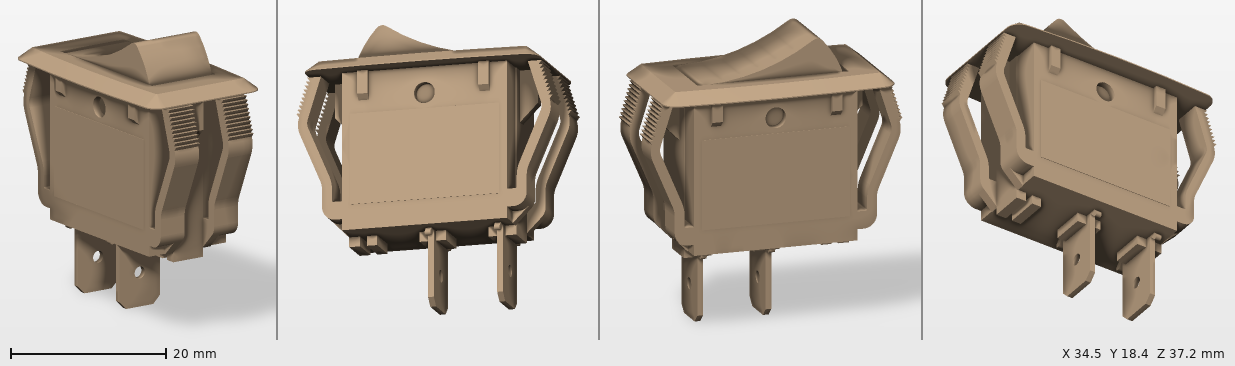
import cadquery as cq
import math


bezel_length = 31.55
bezel_width = 18.37
bezel_end_width = 17.2
bezel_corner_radius = 1.95
bezel_lip = 0.15
bezel_height = 1.55
bezel_inset = 1.82

body_length = 22.2
body_width = 12.15
body_depth = 20.9
spine_length = 22.45
spine_width = 4.65

window_length = 20.6
window_width = 10.05
cavity_floor = -9.3

pivot_z = -3.42
pivot_hole_diameter = 2.8
pivot_pin_diameter = 2.5
pivot_pin_recess = 0.9

label_length = 20.1
label_top = -5.5
label_bottom = -17.55
label_thickness = 0.07

side_rib_x = 8.15
side_rib_width = 1.4
side_rib_reach = 0.7
side_rib_depth = 3.8
end_rib_width = 1.4
end_rib_x = 13.65
end_rib_straight = 4.45

clip_width = 3.75
clip_top = -0.25
clip_post_x = 13.75
clip_thickness = 1.35
clip_floor = -17.05
clip_gap_radius = 0.2
clip_foot_z = -17.63
clip_foot_radius = 1.8
bend_bottom_z = -15.32
bend_radius = 3.0
slope_angle = 23.2
slope_top_z = -7.77
elbow_x = 17.0
elbow_z = -6.62
inner_elbow_z = -6.4
inner_elbow_radius = 1.67
inner_top_x = 13.9
tooth_count = 10
tooth_pitch = 0.52
tooth_step = 0.165
tooth_tip_x = 17.238
tooth_depth = 0.55
gusset_width = 1.25

guard_bottom = -22.2
guard_slot_spacing = 9.3
guard_slot = 0.93
end_guard_inner_x = 7.48
middle_guard_length = 3.55

terminal_positions = (-guard_slot_spacing, 0)
terminal_thickness = 0.78
terminal_width = 6.32
terminal_bottom = -30.9
terminal_chamfer = 1.05
terminal_hole_diameter = 1.6
terminal_hole_z = -26.35
ear_thickness = 0.75
ear_tip_y = 4.28
ear_tip_z = -21.57

rocker_axis_z = -2.05
rocker_tilt = 17.5
rocker_width = 9.78
rocker_half_length = 10.15
rocker_end_radius = 13.0
rocker_face_radius = 27.35
rocker_edge_height = 6.4
rocker_bottom = -2.98
rocker_edge_fillet = 1.05


def box(x0, x1, y0, y1, z0, z1):
    return cq.Workplane("XY").box(x1 - x0, y1 - y0, z1 - z0, centered=False).translate((x0, y0, z0))


def extruded_along_y(profile, y_start, width):
    """Extrude a closed XZ profile from y_start towards +Y."""
    return profile.extrude(-width).translate((0, y_start, 0))


def make_bezel():
    half_length = bezel_length / 2
    half_end = bezel_end_width / 2
    half_middle = bezel_width / 2
    lip = (
        cq.Workplane("XY")
        .moveTo(-half_length, -half_end)
        .threePointArc((0, -half_middle), (half_length, -half_end))
        .lineTo(half_length, half_end)
        .threePointArc((0, half_middle), (-half_length, half_end))
        .close()
        .extrude(bezel_lip)
        .edges("|Z")
        .fillet(bezel_corner_radius)
    )
    slope_height = bezel_height - bezel_lip
    rim_angle = math.degrees(math.atan(bezel_inset / slope_height))
    rim = lip.faces(">Z").wires().toPending().extrude(slope_height, taper=rim_angle, combine=False)
    return lip.union(rim)


def make_body():
    body = box(-body_length / 2, body_length / 2, -body_width / 2, body_width / 2, -body_depth, 0)
    spine = box(-spine_length / 2, spine_length / 2, -spine_width / 2, spine_width / 2, -body_depth, 0)
    return body.union(spine)


def make_guards():
    """Blocks under the body, each split by a slot that takes one terminal."""
    end_outer_x = spine_length / 2
    middle_end_x = middle_guard_length / 2
    spans = (
        (-end_outer_x, -guard_slot_spacing, -end_guard_inner_x),
        (-middle_end_x, 0, middle_end_x),
        (end_guard_inner_x, guard_slot_spacing, end_outer_x),
    )
    guards = cq.Workplane("XY")
    for start_x, slot_x, end_x in spans:
        for x0, x1 in ((start_x, slot_x - guard_slot / 2), (slot_x + guard_slot / 2, end_x)):
            guards = guards.union(box(x0, x1, -spine_width / 2, spine_width / 2, guard_bottom, -body_depth))
    return guards


def make_labels():
    reach = body_width / 2 + label_thickness
    return box(-label_length / 2, label_length / 2, -reach, reach, label_bottom, label_top)


def make_side_ribs():
    """Ribs across both side faces, with a 45 degree lower end."""
    outer = body_width / 2 + side_rib_reach
    profile = (
        cq.Workplane("YZ")
        .polyline([
            (-outer, 0),
            (-outer, side_rib_reach - side_rib_depth),
            (-body_width / 2, -side_rib_depth),
            (body_width / 2, -side_rib_depth),
            (outer, side_rib_reach - side_rib_depth),
            (outer, 0),
        ])
        .close()
        .extrude(side_rib_width / 2, both=True)
    )
    return profile.translate((-side_rib_x, 0, 0)).union(profile.translate((side_rib_x, 0, 0)))


def make_end_ribs():
    """One rib across both ends, with 45 degree lower ends."""
    slope_bottom = -end_rib_straight - (end_rib_x - body_length / 2)
    return (
        cq.Workplane("XZ")
        .polyline([
            (-end_rib_x, 0),
            (-end_rib_x, -end_rib_straight),
            (-body_length / 2, slope_bottom),
            (body_length / 2, slope_bottom),
            (end_rib_x, -end_rib_straight),
            (end_rib_x, 0),
        ])
        .close()
        .extrude(end_rib_width / 2, both=True)
    )


def make_clip_arm():
    """Profile of one clip at the +X end, extruded over its width from y = 0."""
    post_inner_x = clip_post_x - clip_thickness
    foot_x = clip_post_x - clip_foot_radius
    foot_z = clip_foot_z - clip_foot_radius
    diagonal = clip_foot_radius * math.sin(math.radians(45))
    angle = math.radians(slope_angle)
    bend_centre_x = clip_post_x + bend_radius
    inner_bend_radius = bend_radius + clip_thickness
    outer_bend_x = bend_centre_x - bend_radius * math.cos(angle)
    outer_bend_z = bend_bottom_z + bend_radius * math.sin(angle)
    inner_bend_x = bend_centre_x - inner_bend_radius * math.cos(angle)
    inner_bend_z = bend_bottom_z + inner_bend_radius * math.sin(angle)
    slope_top_x = outer_bend_x + (slope_top_z - outer_bend_z) * math.tan(angle)
    inner_elbow_x = inner_bend_x + (inner_elbow_z - inner_bend_z) * math.tan(angle)

    profile = (
        cq.Workplane("XZ")
        .moveTo(body_length / 2, foot_z)
        .lineTo(foot_x, foot_z)
        .threePointArc((foot_x + diagonal, clip_foot_z - diagonal), (clip_post_x, clip_foot_z))
        .lineTo(clip_post_x, bend_bottom_z)
        .tangentArcPoint((outer_bend_x, outer_bend_z), relative=False)
        .lineTo(slope_top_x, slope_top_z)
    )
    lowest_tooth_z = clip_top - (tooth_count - 1) * tooth_pitch
    valley_x = tooth_tip_x + tooth_step - tooth_depth
    profile = profile.threePointArc((elbow_x, elbow_z), (valley_x, lowest_tooth_z - tooth_pitch))
    for i in range(tooth_count):
        tip_x = tooth_tip_x - i * tooth_step
        tip_z = lowest_tooth_z + i * tooth_pitch
        profile = profile.lineTo(tip_x, tip_z)
        if i < tooth_count - 1:
            profile = profile.lineTo(tip_x - tooth_depth, tip_z)
    arm = (
        profile.lineTo(inner_top_x, clip_top)
        .lineTo(inner_elbow_x, inner_elbow_z)
        .lineTo(inner_bend_x, inner_bend_z)
        .tangentArcPoint((post_inner_x, bend_bottom_z), relative=False)
        .lineTo(post_inner_x, clip_floor)
        .lineTo(body_length / 2, clip_floor)
        .close()
    )
    arm = extruded_along_y(arm, 0, clip_width)
    arm = arm.edges(cq.selectors.NearestToPointSelector((inner_elbow_x, clip_width / 2, inner_elbow_z)))
    arm = arm.fillet(inner_elbow_radius)
    arm = arm.edges(cq.selectors.NearestToPointSelector((post_inner_x, clip_width / 2, clip_floor)))
    return arm.fillet(clip_gap_radius)


def make_gusset():
    """45 degree web under a clip foot, tangent to the foot radius, extruded from y = 0."""
    diagonal = clip_foot_radius * math.sin(math.radians(45))
    tangent_x = clip_post_x - clip_foot_radius + diagonal
    tangent_z = clip_foot_z - diagonal
    root_x = body_length / 2
    profile = (
        cq.Workplane("XZ")
        .moveTo(tangent_x, tangent_z)
        .lineTo(root_x, tangent_z - (tangent_x - root_x))
        .lineTo(root_x, tangent_z)
        .close()
    )
    return extruded_along_y(profile, 0, gusset_width)


def make_clips():
    """Two clips at each end, flush with the body side faces."""
    inner_y = body_width / 2 - clip_width
    clip = make_clip_arm().union(make_gusset()).translate((0, inner_y, 0))
    pair = clip.union(clip.mirror("XZ"))
    return pair.union(pair.mirror("YZ"))


def make_housing():
    housing = (
        make_bezel()
        .union(make_body())
        .union(make_guards())
        .union(make_labels())
        .union(make_side_ribs())
        .union(make_end_ribs())
        .union(make_clips())
    )
    cavity = box(
        -window_length / 2, window_length / 2, -window_width / 2, window_width / 2, cavity_floor, bezel_height
    )
    pivot_hole = cq.Workplane("XZ").center(0, pivot_z).circle(pivot_hole_diameter / 2)
    pivot_hole = pivot_hole.extrude(body_width / 2, both=True)
    return housing.cut(cavity).cut(pivot_hole)


def make_rocker():
    """Rocker block drawn level about the rocking axis, tilted, then given its pivot pins."""
    end_centre_x = rocker_half_length - rocker_end_radius
    corner_x = end_centre_x + math.sqrt(rocker_end_radius**2 - rocker_edge_height**2)
    bottom_x = end_centre_x + math.sqrt(rocker_end_radius**2 - rocker_bottom**2)
    face_sag = rocker_face_radius - math.sqrt(rocker_face_radius**2 - corner_x**2)
    block = (
        cq.Workplane("XZ")
        .moveTo(-bottom_x, rocker_bottom)
        .threePointArc((-rocker_half_length, 0), (-corner_x, rocker_edge_height))
        .threePointArc((0, rocker_edge_height - face_sag), (corner_x, rocker_edge_height))
        .threePointArc((rocker_half_length, 0), (bottom_x, rocker_bottom))
        .close()
        .extrude(rocker_width / 2, both=True)
    )
    block = block.edges("|Y and >Z").fillet(rocker_edge_fillet)
    block = block.rotate((0, 0, 0), (0, 1, 0), -rocker_tilt).translate((0, 0, rocker_axis_z))
    pin_reach = body_width / 2 - pivot_pin_recess
    pins = cq.Workplane("XZ").center(0, pivot_z).circle(pivot_pin_diameter / 2).extrude(pin_reach, both=True)
    return block.union(pins)


def make_ear():
    """Locking ear at +Y: a 45 degree strip with a round tip, cut off at the body underside."""
    strip_length = 3 * ear_thickness
    strip = box(
        -terminal_thickness / 2, terminal_thickness / 2, -strip_length, 0, -ear_thickness / 2, ear_thickness / 2
    )
    tip = cq.Workplane("YZ").circle(ear_thickness / 2).extrude(terminal_thickness / 2, both=True)
    ear = strip.union(tip).rotate((0, 0, 0), (1, 0, 0), -45).translate((0, ear_tip_y, ear_tip_z))
    below_body = box(
        -terminal_thickness, terminal_thickness, 0, terminal_width, terminal_bottom, -body_depth
    )
    return ear.intersect(below_body)


def make_terminal(x):
    half_thickness = terminal_thickness / 2
    half_width = terminal_width / 2
    blade = box(-half_thickness, half_thickness, -half_width, half_width, terminal_bottom, -body_depth)
    blade = blade.edges("|X and <Z").chamfer(terminal_chamfer)
    hole = cq.Workplane("YZ").center(0, terminal_hole_z).circle(terminal_hole_diameter / 2)
    blade = blade.cut(hole.extrude(terminal_thickness, both=True))
    ear = make_ear()
    return blade.union(ear).union(ear.mirror("XZ")).translate((x, 0, 0))


housing = make_housing()
rocker = make_rocker()
terminals = [make_terminal(x) for x in terminal_positions]

result = cq.Compound.makeCompound(
    [housing.solids().val(), rocker.solids().val(), *[t.solids().val() for t in terminals]]
)